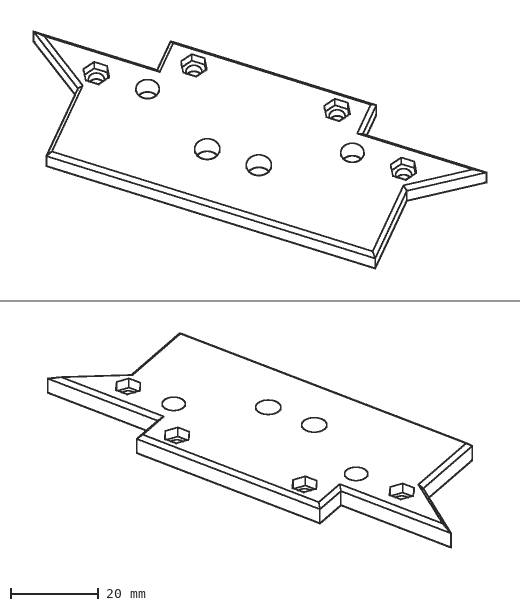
import cadquery as cq

overall_width = 110.6
overall_depth = 40.1
thickness = 5.0
body_width = 80.3
tab_width = 50.2
wing_top_y = overall_depth - 8.6
wing_root_y = overall_depth - 19.9
edge_chamfer = 1.0

bolt_diameter = 3.6
nut_corner_diameter = 6.3
nut_depth = 2.5
tab_bolt_x = 17.5
tab_bolt_y = overall_depth - 5.1
wing_bolt_x = 37.5
mount_diameter = 5.3
mount_x = 25.0
wing_row_y = overall_depth - 15.0
center_diameter = 5.7
center_x = 6.3
center_y = overall_depth - 25.9


def mirrored_pair(x, y):
    return [(-x, y), (x, y)]


def make_plate():
    """Winged plate with its upper outer edges chamfered."""
    right_side = [
        (body_width / 2, 0),
        (body_width / 2, wing_root_y),
        (overall_width / 2, wing_top_y),
        (tab_width / 2, wing_top_y),
        (tab_width / 2, overall_depth),
    ]
    left_side = [(-x, y) for x, y in reversed(right_side)]
    plate = cq.Workplane("XY").polyline(right_side + left_side).close().extrude(thickness)
    return plate.faces(">Z").edges().chamfer(edge_chamfer)


def round_cutters(points, diameter):
    """Cylinders for holes through the whole plate."""
    return cq.Workplane("XY").pushPoints(points).circle(diameter / 2).extrude(thickness)


def nut_cutters(points):
    """Hexagonal pockets open at the top face, with corners pointing along X."""
    floor = cq.Workplane("XY").workplane(offset=thickness - nut_depth)
    return floor.pushPoints(points).polygon(6, nut_corner_diameter).extrude(nut_depth)


bolt_points = mirrored_pair(tab_bolt_x, tab_bolt_y) + mirrored_pair(wing_bolt_x, wing_row_y)

result = (
    make_plate()
    .cut(round_cutters(bolt_points, bolt_diameter))
    .cut(nut_cutters(bolt_points))
    .cut(round_cutters(mirrored_pair(mount_x, wing_row_y), mount_diameter))
    .cut(round_cutters(mirrored_pair(center_x, center_y), center_diameter))
)